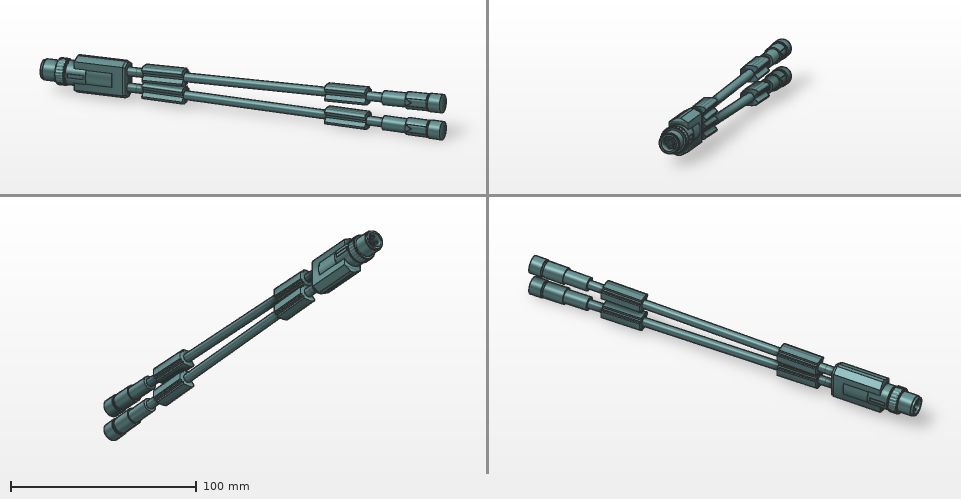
import cadquery as cq
import math


PLUG_TIP_RADIUS = 5.3
PLUG_TIP_LENGTH = 1.4
PLUG_RADIUS = 5.85
NUT_START = 9.2
NUT_END = 14.4
NUT_RADIUS = 7.4
NUT_WAVE = 0.2
NUT_WAVE_COUNT = 28
NUT_CHAMFER = 0.7
NECK_RADIUS = 5.2
SOCKET_RADIUS = 4.2
SOCKET_DEPTH = 8.0
PIN_RADIUS = 0.5
PIN_CIRCLE_RADIUS = 2.5
PIN_COUNT = 4
PIN_RECESS = 1.0

SLEEVE_START = 15.3
SLEEVE_END = 27.0
SLEEVE_RADIUS = 6.8
SLOT_START = 16.4
SLOT_END = 25.6
SLOT_WIDTH = 2.2
SLOT_DEPTH = 0.4

BLOCK_START = 19.9
BLOCK_END = 49.5
BLOCK_HALF_DEPTH = 5.4
BLOCK_HALF_HEIGHT = 10.35
BLOCK_SIDE_HALF_HEIGHT = 8.0
BLOCK_RIDGE_HALF_WIDTH = 1.05
BLOCK_FRONT_SETBACK = 0.5
BLOCK_FRONT_LEAN_HEIGHT = 2.0
BLOCK_REAR_BEVEL_LENGTH = 1.4
BLOCK_REAR_BEVEL = 0.6
BULGE_END = 42.0
BULGE_HALF_WIDTH = 3.9
BULGE_HALF_DEPTH = 6.15

CABLE_RADIUS = 2.45
CABLE_OFFSET = 4.545
BEND_X = 55.0
CABLE_TILT = 1.0
TAIL_OVERLAP = 1.0
OVERALL_LENGTH = 233.36

CLIP_LENGTH = 23.5
CLIP_STARTS = (59.2, 166.0)
CLIP_BACK_Y = 5.0
CLIP_BACK_HALF_HEIGHT = 2.2
CLIP_STEP_Y = 4.0
CLIP_STEP_HALF_HEIGHT = 3.2
CLIP_TOP_BACK = (2.7, 4.4)
CLIP_LIP_TOP = (-1.2, 4.6)
CLIP_LIP_OUTER = (-3.0, 4.3)
CLIP_LIP_TIP = (-4.15, 3.7)
CLIP_LIP_INNER = (-4.65, 2.7)
CLIP_GROOVE_FLOOR = (-2.75, 0.6)

TAIL_START = 199.1
TAIL_RADIUS = 3.9
HUB_START = 213.0
HUB_END = 225.2
HUB_RADIUS = 4.7
RING_GROOVE_RADIUS = 4.3
CAP_START = 226.2
CAP_RADIUS = 5.05
PANEL_HALF_WIDTH = 2.2
PANEL_DEPTH = 0.3
ARROW_LENGTH = 3.8


def cylinder(start, end, radius, z=0.0):
    """Cylinder along X between two X positions, on the axis at height z."""
    return cq.Workplane("YZ", origin=(start, 0, z)).circle(radius).extrude(end - start)


def wavy_nut():
    """Grip nut with a gently waved rim and chamfered ends."""
    points_per_wave = 4
    count = NUT_WAVE_COUNT * points_per_wave
    mean_radius = NUT_RADIUS - NUT_WAVE
    outline = []
    for i in range(count):
        angle = 2 * math.pi * i / count
        radius = mean_radius + NUT_WAVE * math.cos(NUT_WAVE_COUNT * angle)
        outline.append((radius * math.cos(angle), radius * math.sin(angle)))
    nut = (
        cq.Workplane("YZ", origin=(NUT_START, 0, 0))
        .spline(outline, periodic=True)
        .close()
        .extrude(NUT_END - NUT_START)
    )
    envelope = cylinder(NUT_START, NUT_END, NUT_RADIUS + NUT_WAVE).edges().chamfer(NUT_CHAMFER)
    return nut.intersect(envelope)


def plug():
    """Pin plug: hollow barrel with contact pins, grip nut, neck and slotted sleeve."""
    body = cylinder(0, PLUG_TIP_LENGTH, PLUG_TIP_RADIUS)
    body = body.union(cylinder(PLUG_TIP_LENGTH, NUT_START, PLUG_RADIUS))
    body = body.cut(cylinder(0, SOCKET_DEPTH, SOCKET_RADIUS))
    for i in range(PIN_COUNT):
        angle = 2 * math.pi * i / PIN_COUNT
        y = PIN_CIRCLE_RADIUS * math.cos(angle)
        z = PIN_CIRCLE_RADIUS * math.sin(angle)
        pin = cylinder(PIN_RECESS, NUT_START, PIN_RADIUS, z).translate((0, y, 0))
        body = body.union(pin)
    body = body.union(wavy_nut())
    body = body.union(cylinder(NUT_END, SLEEVE_START, NECK_RADIUS))
    return body.union(sleeve())


def sleeve():
    """Round sleeve with a shallow slot on each Y side."""
    body = cylinder(SLEEVE_START, SLEEVE_END, SLEEVE_RADIUS)
    slot_length = SLOT_END - SLOT_START
    for side in (-1, 1):
        slot = cq.Workplane("XY").box(slot_length, 2 * SLOT_DEPTH, SLOT_WIDTH)
        body = body.cut(slot.translate(((SLOT_START + SLOT_END) / 2, side * SLEEVE_RADIUS, 0)))
    return body


def block():
    """Splitter block with bevelled edges and a rounded bulge behind the sleeve."""
    depth = BLOCK_HALF_DEPTH
    height = BLOCK_HALF_HEIGHT
    ridge = BLOCK_RIDGE_HALF_WIDTH
    side = BLOCK_SIDE_HALF_HEIGHT
    outline = [
        (depth, -side), (depth, side), (ridge, height), (-ridge, height),
        (-depth, side), (-depth, -side), (-ridge, -height), (ridge, -height),
    ]
    bevel_x = BLOCK_END - BLOCK_REAR_BEVEL_LENGTH
    bevel_angle = math.degrees(math.atan2(BLOCK_REAR_BEVEL, BLOCK_REAR_BEVEL_LENGTH))
    body = (
        cq.Workplane("YZ", origin=(BLOCK_START, 0, 0))
        .polyline(outline)
        .close()
        .extrude(bevel_x - BLOCK_START)
    )
    rear = (
        cq.Workplane("YZ", origin=(bevel_x, 0, 0))
        .polyline(outline)
        .close()
        .extrude(BLOCK_REAR_BEVEL_LENGTH, taper=bevel_angle)
    )
    lean_start = height - BLOCK_FRONT_LEAN_HEIGHT
    for end in (-1, 1):
        lean = (
            cq.Workplane("XZ")
            .moveTo(BLOCK_START, end * lean_start)
            .lineTo(BLOCK_START + BLOCK_FRONT_SETBACK, end * height)
            .lineTo(BLOCK_START, end * height)
            .close()
            .extrude(depth, both=True)
        )
        body = body.cut(lean)
    bulge = (
        cq.Workplane("YZ", origin=(SLEEVE_END, 0, 0))
        .moveTo(depth, -BULGE_HALF_WIDTH)
        .threePointArc((BULGE_HALF_DEPTH, 0), (depth, BULGE_HALF_WIDTH))
        .lineTo(-depth, BULGE_HALF_WIDTH)
        .threePointArc((-BULGE_HALF_DEPTH, 0), (-depth, -BULGE_HALF_WIDTH))
        .close()
        .extrude(BULGE_END - SLEEVE_END)
    )
    return body.union(rear).union(bulge)


def clip(start):
    """Label clip around the upper cable, with a flared groove open toward -Y."""
    back = (CLIP_BACK_Y, CLIP_BACK_HALF_HEIGHT)
    step_foot = (CLIP_STEP_Y, CLIP_BACK_HALF_HEIGHT)
    step = (CLIP_STEP_Y, CLIP_STEP_HALF_HEIGHT)
    top_foot = (CLIP_TOP_BACK[0], CLIP_STEP_HALF_HEIGHT)
    upper_half = (
        cq.Workplane("YZ", origin=(start, 0, CABLE_OFFSET))
        .moveTo(CLIP_BACK_Y, 0)
        .lineTo(*back)
        .lineTo(*step_foot)
        .lineTo(*step)
        .lineTo(*top_foot)
        .lineTo(*CLIP_TOP_BACK)
        .lineTo(*CLIP_LIP_TOP)
        .lineTo(*CLIP_LIP_OUTER)
        .threePointArc(CLIP_LIP_TIP, CLIP_LIP_INNER)
        .lineTo(*CLIP_GROOVE_FLOOR)
        .lineTo(CLIP_GROOVE_FLOOR[0], 0)
        .close()
        .extrude(CLIP_LENGTH)
    )
    lower_half = upper_half.mirror("XY", (0, 0, CABLE_OFFSET))
    return upper_half.union(lower_half).clean()


def connector(end):
    """Snap-in connector with a recessed panel and raised arrow on the -Y side."""
    z = CABLE_OFFSET
    body = cylinder(TAIL_START, HUB_START, TAIL_RADIUS, z)
    body = body.union(cylinder(HUB_START, HUB_END, HUB_RADIUS, z).cut(panel()))
    body = body.union(cylinder(HUB_END, CAP_START, RING_GROOVE_RADIUS, z))
    return body.union(cylinder(CAP_START, end, CAP_RADIUS, z))


def panel():
    """Curved cutter for the hub panel; its notched end leaves an arrow standing."""
    half = PANEL_HALF_WIDTH
    outline = (
        cq.Workplane("XZ", origin=(0, 0, CABLE_OFFSET))
        .polyline([
            (HUB_START, -half), (HUB_START + ARROW_LENGTH, 0), (HUB_START, half),
            (HUB_END, half), (HUB_END, -half),
        ])
        .close()
        .extrude(HUB_RADIUS)
    )
    core = cylinder(HUB_START, HUB_END, HUB_RADIUS - PANEL_DEPTH, CABLE_OFFSET)
    return outline.cut(core)


def cable():
    """Upper cable: a short straight run out of the block, mitred into the tilted run."""
    tilt = math.radians(CABLE_TILT)
    start_x = BLOCK_END - BLOCK_REAR_BEVEL_LENGTH
    run = TAIL_START + TAIL_OVERLAP - BEND_X
    end = (BEND_X + run * math.cos(tilt), CABLE_OFFSET + run * math.sin(tilt))
    path = (
        cq.Workplane("XZ")
        .moveTo(start_x, CABLE_OFFSET)
        .lineTo(BEND_X, CABLE_OFFSET)
        .lineTo(*end)
    )
    profile = cq.Workplane("YZ", origin=(start_x, 0, CABLE_OFFSET)).circle(CABLE_RADIUS)
    return profile.sweep(path, transition="right")


def arm(side):
    """Cable, clips and connector of one arm: side 1 is the upper, -1 the lower."""
    tilt = math.radians(CABLE_TILT)
    reach = OVERALL_LENGTH - BEND_X - CAP_RADIUS * math.sin(tilt)
    end = BEND_X + reach / math.cos(tilt)
    fittings = [connector(end)]
    for start in CLIP_STARTS:
        fittings.append(clip(start))
    body = cable()
    bend = (BEND_X, 0, CABLE_OFFSET)
    bend_axis_end = (BEND_X, 1, CABLE_OFFSET)
    for fitting in fittings:
        body = body.union(fitting.rotate(bend, bend_axis_end, -CABLE_TILT))
    if side < 0:
        body = body.mirror("XY")
    return body


result = plug().union(block()).union(arm(1)).union(arm(-1))